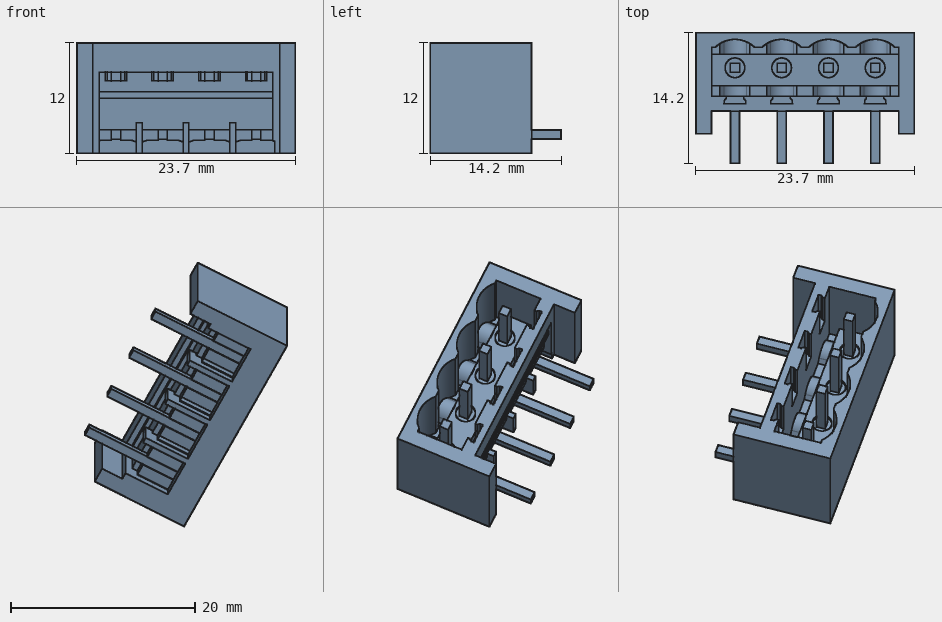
import cadquery as cq
import math


housing_width = 23.72
housing_depth = 11.0
housing_height = 12.0
side_wall = 1.7
inner_width = housing_width - 2 * side_wall

contact_count = 4
pitch = 5.08
contact_y = -3.82
first_contact_x = -pitch * (contact_count - 1) / 2
contact_xs = [first_contact_x + i * pitch for i in range(contact_count)]

pin_size = 1.0
pin_bottom = 1.55
pin_top = 11.0
pin_front_y = -14.2
pin_back_y = contact_y + pin_size / 2

cavity_back_y = -1.61
cavity_front_y = -6.9
scallop_radius = 3.08
floor_top = 3.32
floor_front_y = -7.07

window_half_width = 9.42
window_top = 8.82
wall_front_y = -8.52
sheet_front_y = -7.7
sheet_bottom = 2.59
ridge_front_y = -8.23
ridge_bottom = 5.98
ridge_top = 6.7

bar_back_y = -2.37
bar_front_y = -5.76
bar_top = 4.75
recess_diameter = 2.13
recess_depth = 0.24
dome_half_width = 1.64
dome_arc_half_width = 1.23
dome_flank_angle = math.radians(50)

keyway_bottom = 7.88
keyway_neck_half_width = 0.95
keyway_half_width = 1.16
keyway_neck_depth = 0.24
keyway_flare_depth = 0.47

hollow_back_y = pin_back_y
hollow_height = 1.25
hollow_left_x = -window_half_width
hollow_right_x = 9.63
raised_height = 1.4
raised_half_width = 2.13
raised_flat_half_width = 1.75

fin_width = 0.62
fin_height = 3.32


def box(x_range, y_range, z_range):
    """Box between two limits along each axis, given in any order."""
    (x0, x1), (y0, y1), (z0, z1) = (sorted(limits) for limits in (x_range, y_range, z_range))
    return cq.Workplane("XY").box(x1 - x0, y1 - y0, z1 - z0, centered=False).translate((x0, y0, z0))


def centred_box(x, width, y_range, z_range):
    """Box centred on one X position."""
    return box((x - width / 2, x + width / 2), y_range, z_range)


def make_shell():
    """Outer block with the front cut back between the side walls."""
    shell = centred_box(0, housing_width, (0, -housing_depth), (0, housing_height))
    front_space = centred_box(0, inner_width, (wall_front_y, -housing_depth), (0, housing_height))
    return shell.cut(front_space)


def make_window():
    """Window in the front wall, leaving a thin sheet behind it that stops above the bottom."""
    recess = centred_box(0, 2 * window_half_width, (sheet_front_y, wall_front_y), (0, window_top))
    below_sheet = centred_box(
        0, 2 * window_half_width, (floor_front_y, wall_front_y), (0, sheet_bottom)
    )
    return recess.union(below_sheet)


def make_cavity():
    """Plug cavity open at the top, with a round scallop around each contact."""
    cavity = centred_box(0, inner_width, (cavity_back_y, cavity_front_y), (floor_top, housing_height))
    for x in contact_xs:
        scallop = (
            cq.Workplane("XY", origin=(x, contact_y, floor_top))
            .circle(scallop_radius)
            .extrude(housing_height - floor_top)
        )
        cavity = cavity.union(scallop)
    between_walls = centred_box(0, inner_width, (0, cavity_front_y), (floor_top, housing_height))
    return cavity.intersect(between_walls)


def make_dome(x):
    """Ridge across the floor under one contact: sloped flanks tangent to a rounded top."""
    radius = dome_arc_half_width / math.sin(dome_flank_angle)
    shoulder_z = floor_top + (dome_half_width - dome_arc_half_width) * math.tan(dome_flank_angle)
    crown_z = shoulder_z + radius * (1 - math.cos(dome_flank_angle))
    return (
        cq.Workplane("XZ", origin=(x, 0, 0))
        .moveTo(-dome_half_width, floor_top)
        .lineTo(-dome_arc_half_width, shoulder_z)
        .threePointArc((0, crown_z), (dome_arc_half_width, shoulder_z))
        .lineTo(dome_half_width, floor_top)
        .close()
        .extrude(-cavity_front_y)
    )


def make_keyway(x):
    """Dovetail groove in the front wall, open to the cavity and at the top."""
    half_outline = [
        (keyway_neck_half_width, cavity_front_y),
        (keyway_neck_half_width, cavity_front_y - keyway_neck_depth),
        (keyway_half_width, cavity_front_y - keyway_flare_depth),
        (keyway_half_width, sheet_front_y),
    ]
    mirrored = [(-half_x, y) for half_x, y in reversed(half_outline)]
    return (
        cq.Workplane("XY", origin=(x, 0, keyway_bottom))
        .polyline(half_outline + mirrored)
        .close()
        .extrude(housing_height - keyway_bottom)
    )


def make_hollow():
    """Hollow under the floor, open at the front, slightly higher under each contact."""
    hollow = box((hollow_left_x, hollow_right_x), (hollow_back_y, wall_front_y), (0, hollow_height))
    for x in contact_xs:
        raised = (
            cq.Workplane("XZ", origin=(x, hollow_back_y, 0))
            .moveTo(-raised_half_width, hollow_height)
            .lineTo(-raised_flat_half_width, raised_height)
            .lineTo(raised_flat_half_width, raised_height)
            .lineTo(raised_half_width, hollow_height)
            .close()
            .extrude(hollow_back_y - wall_front_y)
        )
        hollow = hollow.union(raised)
    within_jambs = box((hollow_left_x, hollow_right_x), (hollow_back_y, wall_front_y), (0, raised_height))
    return hollow.intersect(within_jambs)


def make_pin_slot(x):
    """Passage for one pin: an upright hole joined to a slot that opens at the bottom and front."""
    upright = centred_box(x, pin_size, (pin_back_y, pin_back_y - pin_size), (0, bar_top))
    slot = centred_box(x, pin_size, (pin_back_y, floor_front_y), (0, pin_bottom + pin_size))
    return upright.union(slot)


def make_pin_recess(x):
    """Shallow round recess in the floor bar around one pin."""
    return (
        cq.Workplane("XY", origin=(x, contact_y, bar_top - recess_depth))
        .circle(recess_diameter / 2)
        .extrude(recess_depth)
    )


def make_housing():
    housing = make_shell().cut(make_window()).cut(make_cavity())

    housing = housing.union(
        centred_box(0, inner_width, (bar_back_y, bar_front_y), (floor_top, bar_top))
    )
    for x in contact_xs:
        housing = housing.union(make_dome(x))
    housing = housing.union(
        centred_box(0, 2 * window_half_width, (sheet_front_y, ridge_front_y), (ridge_bottom, ridge_top))
    )

    housing = housing.cut(make_hollow())
    for x in contact_xs:
        housing = housing.cut(make_keyway(x)).cut(make_pin_recess(x)).cut(make_pin_slot(x))

    for x in contact_xs[:-1]:
        fin = centred_box(x + pitch / 2, fin_width, (hollow_back_y, wall_front_y), (0, fin_height))
        housing = housing.union(fin)
    return housing


def make_pin(x):
    """Square pin bent at a right angle: upright in the cavity, then out toward the front."""
    upright = centred_box(x, pin_size, (pin_back_y, pin_back_y - pin_size), (pin_bottom, pin_top))
    tail = centred_box(x, pin_size, (pin_back_y, pin_front_y), (pin_bottom, pin_bottom + pin_size))
    return upright.union(tail)


housing = make_housing()
pins = [make_pin(x) for x in contact_xs]
result = cq.Compound.makeCompound([housing.val(), *[pin.val() for pin in pins]])